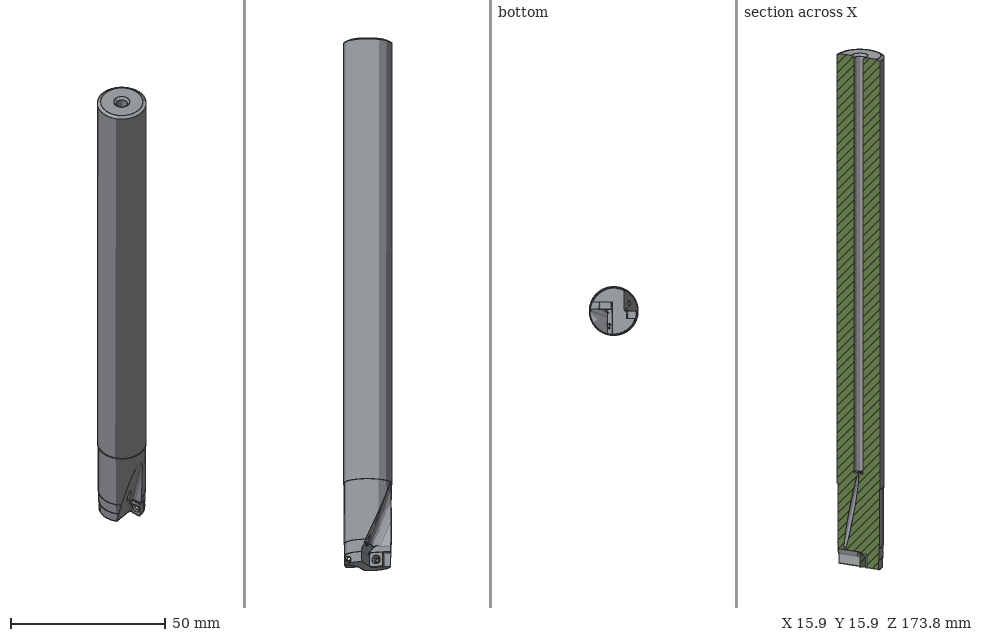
import cadquery as cq
import math

total_length = 173.79
shank_diameter = 15.88
neck_top = 27.5
neck_diameter = 15.4
collar_top = 7.5
collar_diameter = 15.2
tip_band_top = 3.5
tip_band_diameter = 14.9
body_bottom = 0.2

top_chamfer_width = 1.1
top_chamfer_height = 0.6

cut_overrun = 1.0

bore_diameter = 3.6
bore_mouth_diameter = 5.2
bore_bottom = 32.0
duct_diameter = 1.6
duct_overrun = 2.0
inner_outlet = cq.Vector(-1.5, 4.6, 7.9)
outer_outlet = cq.Vector(5.2, -2.6, 8.3)

flute_clear = 12.0
inner_flute_bottom = 6.5
inner_flute_top = 27.0
inner_floor_x = (-1.1, -7.1)
inner_wall_y = (-0.6, -5.7)
inner_floor_lean = (2.0, 24.0)
inner_corner_radius = (2.8, 4.0)
outer_flute_bottom = -cut_overrun
outer_flute_top = 24.0
outer_floor_x = (3.1, 7.9)
outer_wall_y = (0.0, 1.6)
outer_floor_lean = (0.0, 0.0)
outer_corner_radius = (0.8, 0.8)

gullet_floor_x = -0.4
gullet_wall_y = -0.6
gullet_top = 7.0
gullet_ledge_radius = 3.5

insert_thickness = 2.4
insert_relief = 9.0
insert_corner_radius = 0.5
insert_hole_diameter = 1.8
insert_sink_diameter = 2.8
insert_sink_angle = 90.0
outer_insert_x = (4.2, 7.6)
outer_insert_z = (0.1, 5.4)
inner_insert_x = (-4.9, -0.5)
inner_insert_z = (0.0, 4.6)
outer_rake_y = 0.0
inner_rake_y = -0.5
seat_gap = 0.1
outer_screw_exit = cq.Vector(4.6, 6.2, 1.4)
inner_screw_exit = cq.Vector(-4.6, -6.2, 1.4)


def middle(span):
    """Midpoint of a (low, high) span."""
    return (span[0] + span[1]) / 2


def block(x_span, y_span, z_span):
    """Box filling three (low, high) spans."""
    size = [span[1] - span[0] for span in (x_span, y_span, z_span)]
    centre = tuple(middle(span) for span in (x_span, y_span, z_span))
    return cq.Workplane("XY").box(*size).translate(centre)


def rod(start, end, diameter, overrun=0.0):
    """Round bar from start to end, carried on past the end by overrun."""
    along = end - start
    return cq.Workplane(cq.Solid.makeCylinder(diameter / 2, along.Length + overrun, start, along))


def flute_section(z, floor_x, floor_lean, wall_y, radius, side):
    """Closed flute outline at height z; side is +1 for the +X flute and -1 for the -X flute.

    The rounded corner is tangent to the wall and to the floor, which leans outward by floor_lean.
    """
    lean = math.radians(floor_lean)
    far_x = side * flute_clear
    far_y = -side * flute_clear
    floor_run = abs(far_y - wall_y) - radius
    centre_x = floor_x + side * radius
    centre_y = wall_y - side * radius

    def on_corner(angle):
        return (centre_x - side * radius * math.cos(angle), centre_y + side * radius * math.sin(angle))

    floor_start = on_corner(-lean)
    floor_end = (floor_start[0] + side * floor_run * math.tan(lean), floor_start[1] - side * floor_run)
    outline = (
        cq.Workplane("XY", origin=(0, 0, z))
        .moveTo(far_x, wall_y)
        .lineTo(centre_x, wall_y)
        .threePointArc(on_corner((math.pi / 2 - lean) / 2), floor_start)
        .lineTo(*floor_end)
        .lineTo(far_x, far_y)
        .close()
    )
    return outline.val()


def make_flute(bottom, top, floor_x, floor_lean, wall_y, radius, side):
    """Flute cutter running out of the neck surface towards its top."""
    ends = zip((bottom, top), floor_x, floor_lean, wall_y, radius)
    sections = [flute_section(*end, side) for end in ends]
    return cq.Workplane(cq.Solid.makeLoft(sections, True))


def make_insert(x_span, z_span, rake_y, side):
    """Tapered cutting insert; the rake face looks towards -Y for side +1 and +Y for side -1."""
    rake_plane = cq.Plane(
        origin=(middle(x_span), rake_y, middle(z_span)), xDir=(1, 0, 0), normal=(0, -side, 0)
    )
    blank = (
        cq.Workplane(rake_plane)
        .sketch()
        .rect(x_span[1] - x_span[0], z_span[1] - z_span[0])
        .vertices()
        .fillet(insert_corner_radius)
        .finalize()
        .extrude(-insert_thickness, taper=insert_relief)
    )
    return (
        blank.copyWorkplane(cq.Workplane(rake_plane))
        .cskHole(insert_hole_diameter, insert_sink_diameter, insert_sink_angle)
    )


def screw_hole(x_span, z_span, seat_y, screw_exit):
    """Inclined screw hole from the insert seat out through the body wall."""
    seat_centre = cq.Vector(middle(x_span), seat_y, middle(z_span))
    return rod(seat_centre, screw_exit, insert_hole_diameter, duct_overrun)


def make_blank():
    """Turned shank, neck and end bands with the chamfered top edge."""
    shank_radius = shank_diameter / 2
    outline = [
        (0, body_bottom),
        (tip_band_diameter / 2, body_bottom),
        (tip_band_diameter / 2, tip_band_top),
        (collar_diameter / 2, tip_band_top),
        (collar_diameter / 2, collar_top),
        (neck_diameter / 2, collar_top),
        (neck_diameter / 2, neck_top),
        (shank_radius, neck_top),
        (shank_radius, total_length - top_chamfer_height),
        (shank_radius - top_chamfer_width, total_length),
        (0, total_length),
    ]
    return cq.Workplane("XZ").polyline(outline).close().revolve(360, (0, 0, 0), (0, 1, 0))


def make_coolant():
    """Axial bore with a countersunk mouth, splitting into one duct for each flute."""
    bore_radius = bore_diameter / 2
    mouth_radius = bore_mouth_diameter / 2
    outline = [
        (0, bore_bottom),
        (bore_radius, bore_bottom),
        (bore_radius, total_length - (mouth_radius - bore_radius)),
        (mouth_radius, total_length),
        (0, total_length),
    ]
    coolant = cq.Workplane("XZ").polyline(outline).close().revolve(360, (0, 0, 0), (0, 1, 0))
    for outlet in (inner_outlet, outer_outlet):
        coolant = coolant.union(rod(cq.Vector(0, 0, bore_bottom), outlet, duct_diameter, duct_overrun))
    return coolant


def make_gullet():
    """Deeper chip space below the inner flute, with a hollow ledge at its top."""
    gullet = block(
        (-flute_clear, gullet_floor_x), (gullet_wall_y, flute_clear), (-cut_overrun, gullet_top)
    )
    return gullet.edges(">X and >Z").fillet(gullet_ledge_radius)


inner_flute = make_flute(
    inner_flute_bottom,
    inner_flute_top,
    inner_floor_x,
    inner_floor_lean,
    inner_wall_y,
    inner_corner_radius,
    side=-1,
)
outer_flute = make_flute(
    outer_flute_bottom,
    outer_flute_top,
    outer_floor_x,
    outer_floor_lean,
    outer_wall_y,
    outer_corner_radius,
    side=1,
)

outer_seat_y = outer_rake_y + insert_thickness
inner_seat_y = inner_rake_y - insert_thickness
outer_pocket = block(
    (outer_insert_x[0] - seat_gap, flute_clear),
    (outer_rake_y - cut_overrun, outer_seat_y),
    (-cut_overrun, outer_insert_z[1] + seat_gap),
)
inner_pocket = block(
    (-flute_clear, inner_insert_x[1] + seat_gap),
    (inner_seat_y, inner_rake_y + cut_overrun),
    (-cut_overrun, inner_insert_z[1] + seat_gap),
)

body_cuts = [
    inner_flute,
    outer_flute,
    make_gullet(),
    outer_pocket,
    inner_pocket,
    screw_hole(outer_insert_x, outer_insert_z, outer_seat_y, outer_screw_exit),
    screw_hole(inner_insert_x, inner_insert_z, inner_seat_y, inner_screw_exit),
    make_coolant(),
]
body = make_blank()
for cut in body_cuts:
    body = body.cut(cut)

outer_insert = make_insert(outer_insert_x, outer_insert_z, outer_rake_y, side=1)
inner_insert = make_insert(inner_insert_x, inner_insert_z, inner_rake_y, side=-1)

result = cq.Compound.makeCompound([body.val(), outer_insert.val(), inner_insert.val()])